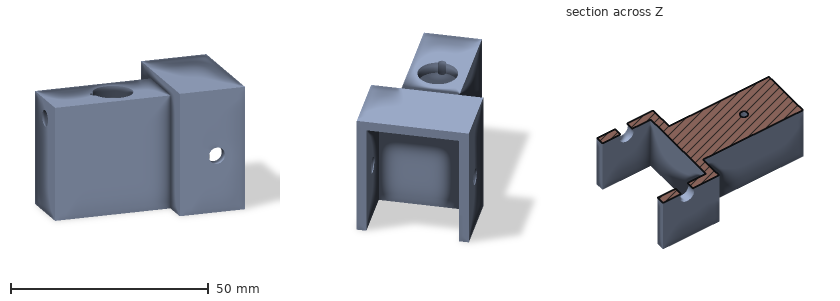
import cadquery as cq

HEAD_WIDTH = 29.0
HEAD_DEPTH = 17.5
HEAD_HEIGHT = 32.5

WALL = 2.5
SOCKET_WIDTH = HEAD_WIDTH - 2 * WALL
SOCKET_DEPTH = HEAD_DEPTH - WALL
SOCKET_HEIGHT = HEAD_HEIGHT - WALL

ARM_WIDTH = 15.0
ARM_LENGTH = 31.0
ARM_HEIGHT = SOCKET_HEIGHT

CROSS_HOLE_DIAMETER = 4.3
CROSS_HOLE_FROM_BACK = SOCKET_DEPTH / 2
CROSS_HOLE_HEIGHT = SOCKET_HEIGHT / 2

POCKET_DIAMETER = 10.3
POCKET_DEPTH = 3.0
POCKET_FROM_FRONT = 18.25

PIN_HOLE_DIAMETER = 2.0

FRONT_HOLE_DIAMETER = 4.27
FRONT_HOLE_HEIGHT = 25.0
FRONT_HOLE_DEPTH = 10.0

ARM_FRONT_Y = -ARM_LENGTH
POCKET_Y = ARM_FRONT_Y + POCKET_FROM_FRONT
PIN_HOLE_Y = POCKET_Y - POCKET_DIAMETER / 2


def block(width, y_start, y_end, height):
    """Box standing on the base plane and centred on X."""
    box = cq.Workplane("XY").box(width, y_end - y_start, height, centered=(True, False, False))
    return box.translate((0, y_start, 0))


def cylinder(diameter, length, start, direction):
    """Round cutter that runs from a start point along a direction."""
    solid = cq.Solid.makeCylinder(diameter / 2, length, cq.Vector(*start), cq.Vector(*direction))
    return cq.Workplane(obj=solid)


def body():
    head = block(HEAD_WIDTH, 0, HEAD_DEPTH, HEAD_HEIGHT)
    arm = block(ARM_WIDTH, ARM_FRONT_Y, 0, ARM_HEIGHT)
    return head.union(arm)


def socket():
    return block(SOCKET_WIDTH, WALL, HEAD_DEPTH, SOCKET_HEIGHT)


def cross_hole():
    start = (-HEAD_WIDTH / 2, HEAD_DEPTH - CROSS_HOLE_FROM_BACK, CROSS_HOLE_HEIGHT)
    return cylinder(CROSS_HOLE_DIAMETER, HEAD_WIDTH, start, (1, 0, 0))


def pocket():
    return cylinder(POCKET_DIAMETER, POCKET_DEPTH, (0, POCKET_Y, ARM_HEIGHT), (0, 0, -1))


def pin_hole():
    return cylinder(PIN_HOLE_DIAMETER, ARM_HEIGHT, (0, PIN_HOLE_Y, 0), (0, 0, 1))


def front_hole():
    start = (0, ARM_FRONT_Y, FRONT_HOLE_HEIGHT)
    return cylinder(FRONT_HOLE_DIAMETER, FRONT_HOLE_DEPTH, start, (0, 1, 0))


result = body().cut(socket()).cut(cross_hole()).cut(pocket()).cut(pin_hole()).cut(front_hole())